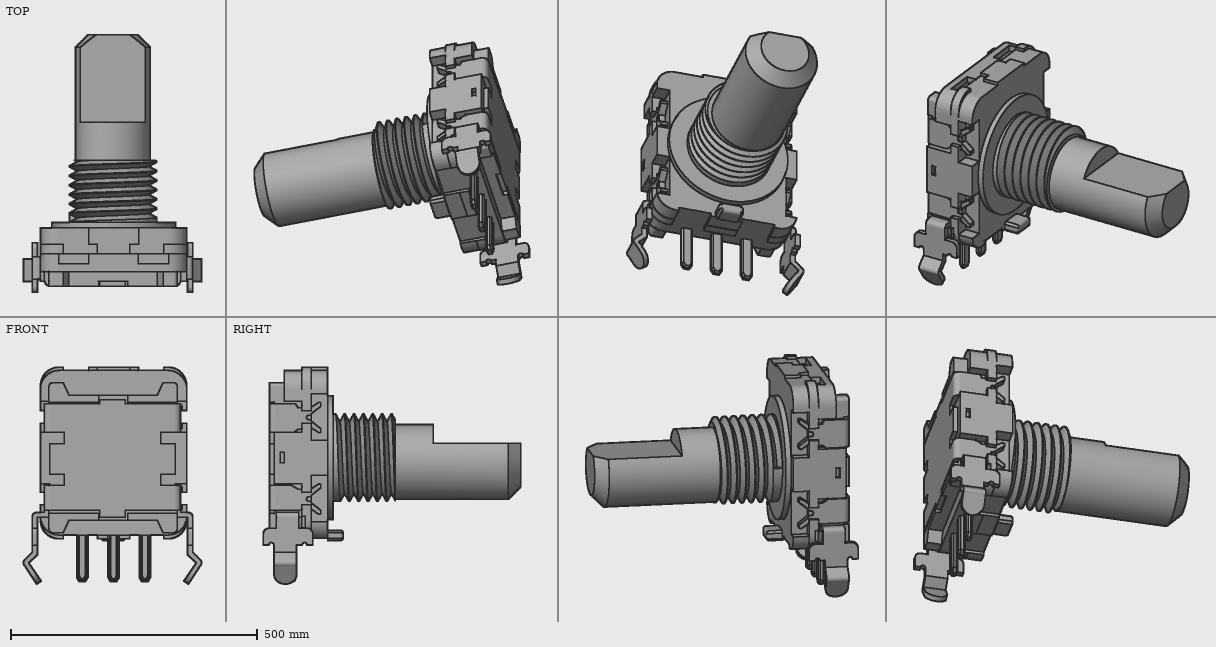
import cadquery as cq
import math


THREAD_DIAMETER = 177.8
THREAD_PITCH = 19.05
THREAD_DEPTH = 15.9
CREST_FLAT = 0.6
GROOVE_START_Y = 20.2
SEAM_ANGLE = 77.0
BUSHING_END_Y = 137.6
FLANGE_DIAMETER = 252.0
FLANGE_THICKNESS = 11.4

SHAFT_DIAMETER = 152.4
SHAFT_X = -0.4
SHAFT_DROP = 8.5
SHAFT_OVERLAP = 1.0
SHAFT_TIP_Y = 392.3
SHAFT_CHAMFER = 25.4
FLAT_LENGTH = 177.8
FLAT_HEIGHT = SHAFT_DIAMETER / 4

PLATE_BACK_Y = -33.1
CAP_BACK_Y = -52.1
BLOCK_BACK_Y = -88.4
CORE_BACK_Y = -118.4
SHEET = 9.8
CLAMP_Y = CORE_BACK_Y + SHEET

COVER_X = 0.9
COVER_WIDTH = 297.2
BODY_TOP_Z = 177.8
BODY_BOTTOM_Z = -157.0
RAISED_TOP_Z = 184.0
RAISED_BOTTOM_Z = -165.0
PLATE_BOTTOM_Z = -164.0
CORNER_RADIUS = 38.1
CAP_CORNER_LENGTH = 46.8
TAB_WIDE = 101.6
TAB_NARROW = 66.0

PLATE_RECESS_INNER_Z = 35.3
PLATE_RECESS_OUTER_Z = 130.0
CAP_GAP_INNER_Z = 70.2
CAP_GAP_OUTER_Z = 95.5
CAP_SLOT_INNER_Z = 59.0
CAP_SLOT_OUTER_Z = 105.0
SIDE_PLATE_TOP_Z = 51.4
SIDE_PLATE_BOTTOM_Z = -52.7
ARM_BOTTOM_Z = -56.2
ARM_TOP_INNER_Z = 27.8
ARM_BOTTOM_INNER_Z = -33.8
ARM_REACH = 98.3
ARM_ROOT = 127.2
WINDOW_Y = -92.3
WINDOW_Z = 0.3
WINDOW_DEPTH_Y = 8.5
WINDOW_HEIGHT = 20.5
EDGE_NOTCH_DEPTH = 3.0
EDGE_NOTCH_FRONT_Y = -45.4
EDGE_NOTCH_TOP_Z = -119.0
EDGE_NOTCH_BOTTOM_Z = -142.0

CORE_X = -1.4
CORE_HALF_WIDTH = 138.6
CORE_TOP_Z = 109.5
CORE_BOTTOM_Z = -106.7
CORE_NOSE_TOP_Z = 101.6
CORE_NOSE_Y = -60.5
CORE_SHOULDER_Y = -65.4
CORE_NOTCH_TOP_Z = 57.4
CORE_NOTCH_BOTTOM_Z = -63.8
CORE_NOTCH_UPPER_Y = -68.5
CORE_NOTCH_Y = -73.2
CORE_EDGE_RADIUS = 12.7
CORE_TAB_HALF_WIDTH = 26.0
CORE_TAB_TOP_Z = 117.7
CORE_TAB_BOTTOM_Z = -120.9
BLOCK_TOP_Z = 177.2
BLOCK_LOWER_EDGE_Z = 114.6
BOTTOM_BLOCK_TOP_Z = -120.6

SPRING_RELIEF = 15.0
SPRING_Z = 82.8
SPRING_SHIFT_Z = -1.2
LOBE_RADIUS = 4.9
LOBE_DEPTH = 3.0
WING_ROOT_INNER_Z = 7.7
WING_ROOT_OUTER_Z = 20.8
WING_TIP_Y = -13.6
WING_TIP_INNER_Z = 23.1
WING_TIP_OUTER_Z = 31.1
WING_TIP_BEVEL_Y = 3.9
WING_TIP_BEVEL_Z = 1.4

RIM_HALF_WIDTH = 130.2
RIM_OUTER_Z = 152.4
RIM_INNER_Z = 112.8
RIM_FLOOR_Z = 127.0
RIM_SLOPE_OUTER_X = 101.4
RIM_SLOPE_INNER_X = 89.6
RIM_CORNER_RADIUS = 8.0
RIM_RECESS_HALF_WIDTH = 29.2
SLOT_INNER_X = 50.5
SLOT_OUTER_X = 111.5
SLOT_BACK_Y = -73.0
SLOT_DEPTH = 12.7

LUG_WIDTH = 50.5
LUG_LENGTH = 31.8
LUG_TOP_Z = -147.4
LUG_BOTTOM_Z = -168.3
LUG_CHAMFER = 4.8
LUG_TIP_RADIUS = 6.0

PIN_SPACING = 63.5
PIN_WIDTH = 23.4
PIN_THICKNESS = 12.7
PIN_Y = -72.0
PIN_BEVEL = 3.5
PIN_GROOVE_INSET = 6.0
PIN_GROOVE_DEPTH = 4.0
PIN_TIP_Z = -252.0
PIN_TIP_TAPER = 9.5
PIN_TIP_WIDTH = 12.0

CLIP_X = -1.28
CLIP_HALF_SPAN = 181.06
CLIP_SHEET = 11.2
CLIP_LEG_X = 163.2
CLIP_ROOT_X = 120.0
CLIP_TOP_Z = -111.0
CLIP_BEND_RADIUS = 9.5
CLIP_WING_TOP_Z = -143.0
CLIP_WING_BOTTOM_Z = -177.4
CLIP_WING_FRONT_Y = -29.7
CLIP_WING_BACK_Y = SHAFT_TIP_Y - 523.24
CLIP_WING_RADIUS = 12.0
CLIP_NECK_FRONT_Y = -58.4
CLIP_NECK_BACK_Y = -103.8
CLIP_LEG_FRONT_Y = -62.8
CLIP_LEG_BACK_Y = -108.9
CLIP_RELIEFS_Y = (-47.0, -114.3)
CLIP_RELIEF_RADIUS = 4.8
CLIP_BAR_THICKNESS = 10.2
CLIP_KNEE_Z = -192.2
CLIP_KNEE_STEP = 5.0
CLIP_ELBOW_Z = -213.5
CLIP_ELBOW_LENGTH = 6.3
CLIP_TIP = (154.1, RAISED_TOP_Z - 440.63)
CLIP_TIP_ANGLE = math.radians(33)
CLIP_TIP_RADIUS = 22.8

SIDES = (-1, 1)


def box(x0, x1, y0, y1, z0, z1):
    """Box given by two opposite corners, in any order."""
    size = (abs(x1 - x0), abs(y1 - y0), abs(z1 - z0))
    middle = ((x0 + x1) / 2, (y0 + y1) / 2, (z0 + z1) / 2)
    return cq.Workplane("XY").box(*size).translate(middle)


def disc(diameter, y0, y1, z=0.0, x=0.0):
    """Cylinder along +Y from y0 to y1."""
    start = cq.Workplane("XZ", origin=(x, y0, z))
    return start.circle(diameter / 2).extrude(y0 - y1)


def rounded_block(y0, y1, z0, z1):
    """Slab of full cover width with rounded corners."""
    half = COVER_WIDTH / 2
    slab = box(COVER_X - half, COVER_X + half, y0, y1, z0, z1)
    return slab.edges("|Y").fillet(CORNER_RADIUS)


def side_prism(points, x0, x1):
    """Outline of (y, z) points, extruded from x0 to x1."""
    return cq.Workplane("YZ", origin=(x0, 0, 0)).polyline(points).close().extrude(x1 - x0)


def make_bushing():
    """Bushing with a right-handed V thread that ends abruptly near the flange."""
    radius = THREAD_DIAMETER / 2
    bushing = disc(THREAD_DIAMETER, 0, BUSHING_END_Y)
    bushing = bushing.rotate((0, 0, 0), (0, 1, 0), SEAM_ANGLE)
    root = radius - THREAD_DEPTH
    overshoot = 1.0
    half_width = (THREAD_PITCH - CREST_FLAT) / 2
    height = BUSHING_END_Y - GROOVE_START_Y + THREAD_PITCH
    helix = cq.Wire.makeHelix(THREAD_PITCH, height, radius)
    groove = (
        cq.Workplane("XZ")
        .moveTo(root, 0)
        .lineTo(radius + overshoot, half_width)
        .lineTo(radius + overshoot, -half_width)
        .close()
        .sweep(cq.Workplane(helix), isFrenet=True)
        .rotate((0, 0, 0), (0, 0, 1), 180)
        .rotate((0, 0, 0), (1, 0, 0), -90)
        .translate((0, GROOVE_START_Y, 0))
    )
    return bushing.cut(groove)


def make_shaft():
    """D-shaped shaft standing on the end of the bushing."""
    radius = SHAFT_DIAMETER / 2
    shaft = disc(SHAFT_DIAMETER, BUSHING_END_Y - SHAFT_OVERLAP, SHAFT_TIP_Y, -SHAFT_DROP, SHAFT_X)
    shaft = shaft.faces(">Y").chamfer(SHAFT_CHAMFER)
    flat_z = FLAT_HEIGHT - SHAFT_DROP
    flat_start_y = SHAFT_TIP_Y - FLAT_LENGTH
    return shaft.cut(box(-THREAD_DIAMETER, THREAD_DIAMETER, flat_start_y, SHAFT_TIP_Y, flat_z, radius))


def make_front_plate():
    """Cover front: flange, plate with recessed sides, raised tabs on top and bottom."""
    half = COVER_WIDTH / 2
    plate = rounded_block(0, PLATE_BACK_Y, PLATE_BOTTOM_Z, BODY_TOP_Z)
    plate = plate.cut(edge_step(0, PLATE_BACK_Y, BODY_BOTTOM_Z, PLATE_BOTTOM_Z))
    floor = CORE_HALF_WIDTH - SPRING_RELIEF
    for side in SIDES:
        for level in SIDES:
            plate = plate.cut(
                box(
                    CORE_X + side * floor,
                    COVER_X + side * (half + 1),
                    0,
                    PLATE_BACK_Y,
                    level * PLATE_RECESS_INNER_Z,
                    level * PLATE_RECESS_OUTER_Z,
                )
            )
            plate = plate.union(spring_wings(side, level))
    flange = disc(FLANGE_DIAMETER, 0, FLANGE_THICKNESS, x=COVER_X)
    wide_tab = tab(TAB_WIDE, 0, PLATE_BACK_Y, RAISED_TOP_Z)
    bottom_tab = tab(TAB_NARROW, 0, PLATE_BACK_Y, PLATE_BOTTOM_Z)
    return plate.union(flange).union(wide_tab).union(bottom_tab)


def edge_step(y0, y1, z0, z1):
    """Space between the wrapped corners, from the body edge z0 to the raised edge z1."""
    span = COVER_WIDTH / 2 - CAP_CORNER_LENGTH
    return box(COVER_X - span, COVER_X + span, y0, y1, z0, z1)


def tab(width, y0, y1, z_end):
    """Raised tab that reaches from inside the body to z_end."""
    z_start = z_end - math.copysign(2 * SHEET, z_end)
    return box(COVER_X - width / 2, COVER_X + width / 2, y0, y1, z_start, z_end)


def spring_wings(side, level):
    """Two slanting ribs that open towards the front in a recess of the cover side."""
    outline = [
        (PLATE_BACK_Y, WING_ROOT_INNER_Z),
        (WING_TIP_Y, WING_TIP_INNER_Z),
        (WING_TIP_Y, WING_TIP_OUTER_Z - WING_TIP_BEVEL_Z),
        (WING_TIP_Y - WING_TIP_BEVEL_Y, WING_TIP_OUTER_Z),
        (PLATE_BACK_Y, WING_ROOT_OUTER_Z),
    ]
    inside = CORE_X + side * (CORE_HALF_WIDTH - SPRING_RELIEF - 1)
    outside = CORE_X + side * CORE_HALF_WIDTH
    upper = side_prism(outline, min(inside, outside), max(inside, outside))
    wings = upper.union(upper.mirror("XY"))
    return wings.translate((0, 0, level * SPRING_Z + SPRING_SHIFT_Z))


def make_cap():
    """Cover layer behind the plate: four wrapped corners, side plates and narrow tabs."""
    half = COVER_WIDTH / 2
    cap = rounded_block(PLATE_BACK_Y, CAP_BACK_Y, RAISED_BOTTOM_Z, RAISED_TOP_Z)
    for z0, z1 in ((BODY_TOP_Z, RAISED_TOP_Z), (BODY_BOTTOM_Z, RAISED_BOTTOM_Z)):
        cap = cap.cut(edge_step(PLATE_BACK_Y, CAP_BACK_Y, z0, z1))
        cap = cap.union(tab(TAB_NARROW, PLATE_BACK_Y, CAP_BACK_Y, z1))
    for side in SIDES:
        core_face = CORE_X + side * CORE_HALF_WIDTH
        cover_face = COVER_X + side * half
        lobe_floor = core_face - side * LOBE_DEPTH
        for level in SIDES:
            gap = box(
                core_face,
                cover_face + side,
                PLATE_BACK_Y,
                CAP_BACK_Y,
                level * CAP_GAP_INNER_Z,
                level * CAP_GAP_OUTER_Z,
            )
            cap = cap.cut(gap).cut(spring_lobe(lobe_floor, core_face, level))
        notch_floor = cover_face - side * EDGE_NOTCH_DEPTH
        notch = box(
            notch_floor,
            cover_face,
            EDGE_NOTCH_FRONT_Y,
            CAP_BACK_Y,
            EDGE_NOTCH_TOP_Z,
            EDGE_NOTCH_BOTTOM_Z,
        )
        cap = cap.cut(notch)
    core_face = CORE_X + CORE_HALF_WIDTH
    sheet_face = COVER_X + half - SHEET
    for level in SIDES:
        cap = cap.cut(
            box(
                core_face,
                sheet_face,
                PLATE_BACK_Y,
                CAP_BACK_Y,
                level * CAP_SLOT_INNER_Z,
                level * CAP_SLOT_OUTER_Z,
            )
        )
    return cap


def spring_lobe(x0, x1, level):
    """Round-ended pocket at the root of the spring wings."""
    start_y = PLATE_BACK_Y + LOBE_RADIUS
    center_y = PLATE_BACK_Y - LOBE_RADIUS
    lobe = (
        cq.Workplane("YZ", origin=(min(x0, x1), 0, level * SPRING_Z + SPRING_SHIFT_Z))
        .moveTo(start_y, LOBE_RADIUS)
        .lineTo(center_y, LOBE_RADIUS)
        .threePointArc((center_y - LOBE_RADIUS, 0), (center_y, -LOBE_RADIUS))
        .lineTo(start_y, -LOBE_RADIUS)
        .close()
        .extrude(abs(x1 - x0))
    )
    return lobe


def make_blocks():
    """Plastic blocks above and below the core; the upper one has two slots in its top."""
    blocks = rounded_block(CAP_BACK_Y, BLOCK_BACK_Y, BODY_BOTTOM_Z, BLOCK_TOP_Z)
    reach = COVER_WIDTH
    blocks = blocks.cut(
        box(-reach, reach, CAP_BACK_Y, BLOCK_BACK_Y, BLOCK_LOWER_EDGE_Z, BOTTOM_BLOCK_TOP_Z)
    )
    for side in SIDES:
        blocks = blocks.cut(
            box(
                COVER_X + side * SLOT_INNER_X,
                COVER_X + side * SLOT_OUTER_X,
                CAP_BACK_Y,
                SLOT_BACK_Y,
                BLOCK_TOP_Z - SLOT_DEPTH,
                BLOCK_TOP_Z,
            )
        )
    return blocks


def make_core():
    """Core with notched front edge, rounded side edges and a tab at top and bottom."""
    outline = [
        (CAP_BACK_Y, CORE_NOSE_TOP_Z),
        (CORE_NOSE_Y, CORE_NOSE_TOP_Z),
        (CORE_SHOULDER_Y, CORE_TOP_Z),
        (CORE_BACK_Y, CORE_TOP_Z),
        (CORE_BACK_Y, CORE_BOTTOM_Z),
        (CAP_BACK_Y, CORE_BOTTOM_Z),
        (CAP_BACK_Y, CORE_NOTCH_BOTTOM_Z),
        (CORE_NOSE_Y, CORE_NOTCH_BOTTOM_Z),
        (CORE_NOTCH_Y, ARM_BOTTOM_Z),
        (CORE_NOTCH_UPPER_Y, SIDE_PLATE_TOP_Z),
        (CORE_NOSE_Y, CORE_NOTCH_TOP_Z),
        (CAP_BACK_Y, CORE_NOTCH_TOP_Z),
    ]
    core = side_prism(outline, CORE_X - CORE_HALF_WIDTH, CORE_X + CORE_HALF_WIDTH)
    core = core.faces("<Y").edges("|Z").fillet(CORE_EDGE_RADIUS)
    inner = box(-RIM_HALF_WIDTH, RIM_HALF_WIDTH, CAP_BACK_Y, CLAMP_Y, -RIM_INNER_Z, RIM_INNER_Z)
    core = core.union(inner)
    web = box(
        -RIM_HALF_WIDTH, RIM_HALF_WIDTH, CAP_BACK_Y, BLOCK_BACK_Y, BOTTOM_BLOCK_TOP_Z, BLOCK_LOWER_EDGE_Z
    )
    core = core.union(web)
    tab_x = (CORE_X - CORE_TAB_HALF_WIDTH, CORE_X + CORE_TAB_HALF_WIDTH)
    core = core.union(box(*tab_x, BLOCK_BACK_Y, CORE_BACK_Y, CORE_TAB_BOTTOM_Z, CORE_TAB_TOP_Z))
    for side in SIDES:
        outside = CORE_X + side * COVER_WIDTH
        pockets = (
            (ARM_REACH, CLAMP_Y, ARM_TOP_INNER_Z, SIDE_PLATE_TOP_Z),
            (ARM_ROOT, CORE_NOTCH_Y, ARM_BOTTOM_Z, SIDE_PLATE_TOP_Z),
            (ARM_REACH, CLAMP_Y, ARM_BOTTOM_Z, ARM_BOTTOM_INNER_Z),
        )
        for reach, y0, z0, z1 in pockets:
            core = core.cut(box(CORE_X + side * reach, outside, y0, CORE_BACK_Y, z0, z1))
    return core


def make_side_plates():
    """Cover sides reaching back to the clamp arms, each with a small window."""
    plates = cq.Workplane("XY")
    for side in SIDES:
        face = COVER_X + side * COVER_WIDTH / 2
        plate = box(
            CORE_X + side * ARM_ROOT, face, CAP_BACK_Y, CLAMP_Y, SIDE_PLATE_BOTTOM_Z, SIDE_PLATE_TOP_Z
        )
        window = box(
            face,
            face - side * SHEET,
            WINDOW_Y - WINDOW_DEPTH_Y / 2,
            WINDOW_Y + WINDOW_DEPTH_Y / 2,
            WINDOW_Z - WINDOW_HEIGHT / 2,
            WINDOW_Z + WINDOW_HEIGHT / 2,
        )
        plates = plates.union(plate.cut(window))
    return plates


def make_rim():
    """Upper rim: a bar with raised ends, a sloped gap between them and a central recess."""
    rim = box(-RIM_HALF_WIDTH, RIM_HALF_WIDTH, BLOCK_BACK_Y, CORE_BACK_Y, RIM_INNER_Z, RIM_OUTER_Z)
    rim = rim.edges("|Y").edges(">Z").fillet(RIM_CORNER_RADIUS)
    gap = (
        cq.Workplane("XZ", origin=(0, BLOCK_BACK_Y, 0))
        .polyline(
            [
                (-RIM_SLOPE_OUTER_X, RIM_OUTER_Z),
                (-RIM_SLOPE_INNER_X, RIM_FLOOR_Z),
                (RIM_SLOPE_INNER_X, RIM_FLOOR_Z),
                (RIM_SLOPE_OUTER_X, RIM_OUTER_Z),
            ]
        )
        .close()
        .extrude(BLOCK_BACK_Y - CORE_BACK_Y)
    )
    recess = box(
        -RIM_RECESS_HALF_WIDTH, RIM_RECESS_HALF_WIDTH, CLAMP_Y, CORE_BACK_Y, RIM_INNER_Z, RIM_FLOOR_Z
    )
    return rim.cut(gap).cut(recess)


def make_lug():
    """Locating lug on the front of the bottom tab."""
    lug = box(-LUG_WIDTH / 2, LUG_WIDTH / 2, 0, LUG_LENGTH, LUG_BOTTOM_Z, LUG_TOP_Z)
    lug = lug.edges("|Y").chamfer(LUG_CHAMFER)
    return lug.faces(">Y").edges().fillet(LUG_TIP_RADIUS)


def pin_outline(x, inset):
    """Front outline of a pin with a tapered tip, drawn in from its edges by inset."""
    half = PIN_WIDTH / 2 - inset
    half_tip = PIN_TIP_WIDTH / 2 - inset / 2
    shoulder_z = PIN_TIP_Z + PIN_TIP_TAPER + inset / 2
    tip_z = PIN_TIP_Z + inset
    top_z = BODY_BOTTOM_Z + SHEET
    return [
        (x - half, top_z),
        (x - half, shoulder_z),
        (x - half_tip, tip_z),
        (x + half_tip, tip_z),
        (x + half, shoulder_z),
        (x + half, top_z),
    ]


def make_pin(x):
    """Flat pin with bevelled edges and a shallow groove along its back face."""
    front_y = PIN_Y + PIN_THICKNESS / 2
    pin = cq.Workplane("XZ", origin=(0, front_y, 0)).polyline(pin_outline(x, 0)).close()
    pin = pin.extrude(PIN_THICKNESS)
    pin = pin.faces("<Y or >Y").edges("not >Z").chamfer(PIN_BEVEL)
    floor_y = front_y - PIN_THICKNESS + PIN_GROOVE_DEPTH
    groove = cq.Workplane("XZ", origin=(0, floor_y, 0))
    groove = groove.polyline(pin_outline(x, PIN_GROOVE_INSET)).close().extrude(PIN_GROOVE_DEPTH)
    return pin.cut(groove)


def clip_strip():
    """Bent sheet of the +X clip at full wing width; x is measured from the clip mid-plane."""
    inner_x = CLIP_LEG_X - CLIP_SHEET
    bar_bottom_z = CLIP_TOP_Z - CLIP_BAR_THICKNESS
    tip_x, tip_z = CLIP_TIP
    tip_run = CLIP_SHEET * math.cos(CLIP_TIP_ANGLE)
    tip_rise = CLIP_SHEET * math.sin(CLIP_TIP_ANGLE)
    elbow_end_z = CLIP_ELBOW_Z - CLIP_ELBOW_LENGTH
    elbow_end_x = tip_x + (elbow_end_z - tip_z) * math.tan(CLIP_TIP_ANGLE)
    elbow_start_z = CLIP_ELBOW_Z + CLIP_ELBOW_LENGTH
    elbow_start_x = CLIP_LEG_X + CLIP_KNEE_Z - elbow_start_z
    strip = (
        cq.Workplane("XZ", origin=(0, CLIP_WING_FRONT_Y, 0))
        .moveTo(CLIP_ROOT_X, CORE_BOTTOM_Z)
        .lineTo(CORE_HALF_WIDTH, CORE_BOTTOM_Z)
        .lineTo(CORE_HALF_WIDTH, CLIP_TOP_Z)
        .lineTo(CLIP_LEG_X - CLIP_BEND_RADIUS, CLIP_TOP_Z)
        .tangentArcPoint((CLIP_LEG_X, CLIP_TOP_Z - CLIP_BEND_RADIUS), relative=False)
        .lineTo(CLIP_LEG_X, CLIP_KNEE_Z)
        .lineTo(elbow_start_x, elbow_start_z)
        .threePointArc((CLIP_HALF_SPAN, CLIP_ELBOW_Z), (elbow_end_x, elbow_end_z))
        .lineTo(tip_x, tip_z)
        .lineTo(tip_x - tip_run, tip_z + tip_rise)
        .lineTo(CLIP_HALF_SPAN - CLIP_SHEET, CLIP_ELBOW_Z)
        .lineTo(inner_x, CLIP_KNEE_Z - CLIP_KNEE_STEP)
        .lineTo(inner_x, bar_bottom_z)
        .lineTo(CLIP_ROOT_X, bar_bottom_z)
        .close()
        .extrude(CLIP_WING_FRONT_Y - CLIP_WING_BACK_Y)
    )
    return strip


def make_clip():
    """+X clip: neck, wings with two relief notches, and a bent leg with a round tip."""
    neck = box(0, CLIP_HALF_SPAN, CLIP_NECK_FRONT_Y, CLIP_NECK_BACK_Y, 0, CLIP_WING_TOP_Z)
    wings = box(
        0, CLIP_HALF_SPAN, CLIP_WING_FRONT_Y, CLIP_WING_BACK_Y, CLIP_WING_TOP_Z, CLIP_WING_BOTTOM_Z
    )
    wings = wings.edges("|X and >Z").fillet(CLIP_WING_RADIUS)
    for y in CLIP_RELIEFS_Y:
        relief = cq.Workplane("YZ", origin=(0, y, CLIP_WING_BOTTOM_Z))
        wings = wings.cut(relief.circle(CLIP_RELIEF_RADIUS).extrude(CLIP_HALF_SPAN))
    tip_z = CLIP_TIP[1]
    leg = box(0, CLIP_HALF_SPAN, CLIP_LEG_FRONT_Y, CLIP_LEG_BACK_Y, CLIP_WING_BOTTOM_Z, tip_z)
    clip = clip_strip().intersect(neck.union(wings).union(leg))
    across_tip = cq.Vector(-math.cos(CLIP_TIP_ANGLE), 0, math.sin(CLIP_TIP_ANGLE))
    along_tip = cq.Vector(-math.sin(CLIP_TIP_ANGLE), 0, -math.cos(CLIP_TIP_ANGLE))
    tip_face = clip.faces(cq.selectors.DirectionMinMaxSelector(along_tip))
    side_edges = tip_face.edges(cq.selectors.ParallelDirSelector(across_tip))
    return side_edges.fillet(CLIP_TIP_RADIUS)


rim = make_rim()
result = make_bushing().union(make_shaft())
result = result.union(make_front_plate())
result = result.union(make_cap())
result = result.union(make_blocks())
result = result.union(make_core())
result = result.union(make_side_plates())
result = result.union(rim).union(rim.mirror("XY"))
result = result.union(make_lug())
for offset in (-PIN_SPACING, 0, PIN_SPACING):
    result = result.union(make_pin(COVER_X + offset))
clip = make_clip()
for one in (clip, clip.mirror("YZ")):
    result = result.union(one.translate((CLIP_X, 0, 0)))